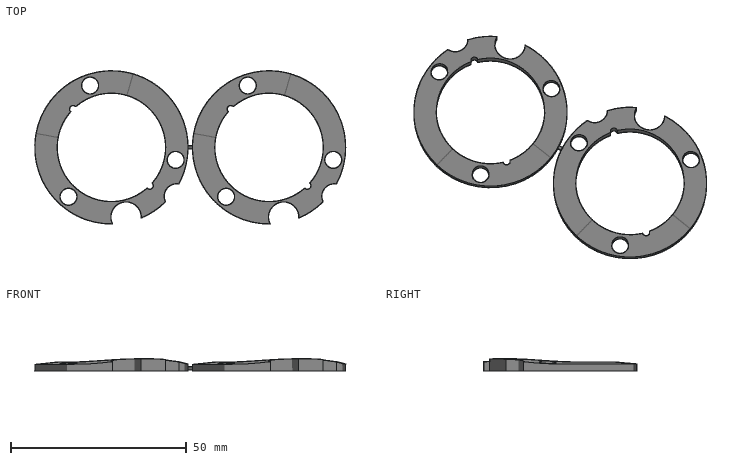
import cadquery as cq
import math

outer_radius = 21.9
inner_radius = 15.45
ring_pitch = 45.0
mid_radius = (outer_radius + inner_radius) / 2

peak_height = 3.54
peak_angle = -59.0
low_start_angle = 73.5
low_end_angle = 169.5
outer_low_heights = (2.1, 1.9)
inner_low_heights = (2.65, 2.6)
outer_hump_half_width = 57.0
inner_hump_half_width = 79.0
rim_margin = 1.0
station_step = 6.0
cut_height = 2 * peak_height

screw_hole_diameter = 4.76
screw_hole_count = 3
first_screw_hole_angle = -11.0

large_cutout_radius = 4.3
large_cutout_center = (4.18, -19.9)
small_cutout_radius = 3.5
small_cutout_center = (18.6, -13.93)

notch_radius = 1.0
notch_angles = (135.0, -45.0)

pin_diameter = 1.0
pin_height = 0.8
pin_overlap = 0.5


def polar(radius, angle):
    """Point at a radius and an angle in degrees."""
    return radius * math.cos(math.radians(angle)), radius * math.sin(math.radians(angle))


def rim_height(angle, low_heights, hump_half_width):
    """Height of a rim: a gentle slope over the low sector and a cosine hump around the peak."""
    start_height, end_height = low_heights
    if angle <= low_end_angle:
        fraction = (angle - low_start_angle) / (low_end_angle - low_start_angle)
        return start_height + fraction * (end_height - start_height)
    hump_span = low_start_angle + 360 - low_end_angle
    fraction = (angle - low_end_angle) / hump_span
    base = end_height + fraction * (start_height - end_height)
    from_peak = min(abs(angle - 360 - peak_angle) / hump_half_width, 1.0)
    hump = (1 + math.cos(math.pi * from_peak)) / 2
    return base + hump * (peak_height - base)


def top_point(radius, angle):
    """Point of the top surface, straight along each radius from rim to rim."""
    inner_height = rim_height(angle, inner_low_heights, inner_hump_half_width)
    outer_height = rim_height(angle, outer_low_heights, outer_hump_half_width)
    fraction = (radius - inner_radius) / (outer_radius - inner_radius)
    height = inner_height + fraction * (outer_height - inner_height)
    return cq.Vector(*polar(radius, angle), height)


def sector(start_angle, end_angle):
    """Solid between the base plane and the top surface, a little wider than the ring."""
    count = math.ceil((end_angle - start_angle) / station_step)
    step = (end_angle - start_angle) / count
    angles = [start_angle + i * step for i in range(count + 1)]
    top_edges = []
    base_edges = []
    for radius in (inner_radius - rim_margin, outer_radius + rim_margin):
        top_edges.append(cq.Edge.makeSpline([top_point(radius, a) for a in angles]))
        arc_angles = (start_angle, (start_angle + end_angle) / 2, end_angle)
        arc_points = [cq.Vector(*polar(radius, a)) for a in arc_angles]
        base_edges.append(cq.Edge.makeThreePointArc(*arc_points))
    faces = [cq.Face.makeRuledSurface(*top_edges), cq.Face.makeRuledSurface(*base_edges)]
    for top_edge, base_edge in zip(top_edges, base_edges):
        faces.append(cq.Face.makeRuledSurface(base_edge, top_edge))
    for position in (0, 1):
        corners = [edge.positionAt(position) for edge in base_edges + top_edges[::-1]]
        faces.append(cq.Face.makeFromWires(cq.Wire.makePolygon(corners, close=True)))
    shell = cq.Shell.makeShell(faces)
    return cq.Workplane(cq.Solid.makeSolid(shell))


def ring_blank():
    """Flat ring trimmed by the two sectors of the top surface."""
    flat_ring = cq.Workplane().circle(outer_radius).circle(inner_radius).extrude(cut_height)
    low_part = flat_ring.intersect(sector(low_start_angle, low_end_angle))
    raised_part = flat_ring.intersect(sector(low_end_angle, low_start_angle + 360))
    return low_part.union(raised_part)


def cut_round(body, radius, centers):
    """Cut round openings through the full height."""
    return body.cut(cq.Workplane().pushPoints(centers).circle(radius).extrude(cut_height))


def ring():
    """One ring with its screw holes, rim cutouts and bore notches."""
    body = ring_blank()
    hole_angles = [first_screw_hole_angle + i * 360 / screw_hole_count for i in range(screw_hole_count)]
    body = cut_round(body, screw_hole_diameter / 2, [polar(mid_radius, a) for a in hole_angles])
    body = cut_round(body, large_cutout_radius, [large_cutout_center])
    body = cut_round(body, small_cutout_radius, [small_cutout_center])
    return cut_round(body, notch_radius, [polar(inner_radius, a) for a in notch_angles])


def joining_pin():
    """Pin across the gap between the rings, sunk a little into both."""
    length = ring_pitch - 2 * outer_radius + 2 * pin_overlap
    pin = cq.Workplane("YZ").circle(pin_diameter / 2).extrude(length / 2, both=True)
    return pin.translate((0, 0, pin_height))


one_ring = ring()
result = joining_pin()
for side in (-1, 1):
    result = result.union(one_ring.translate((side * ring_pitch / 2, 0, 0)))